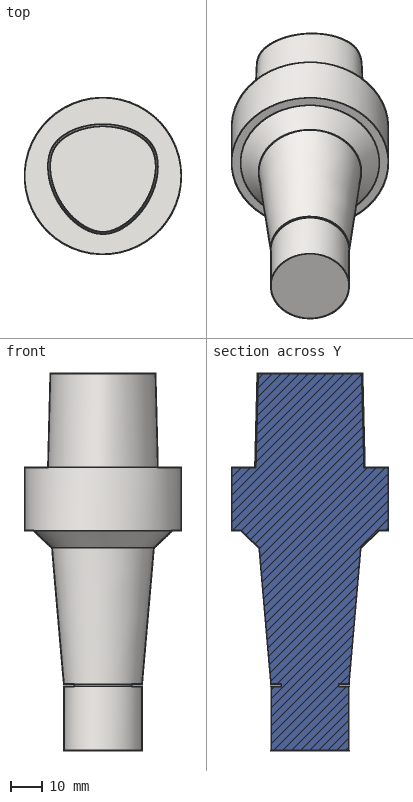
import cadquery as cq
import math

total_height = 120.0
plug_top = 20.4
groove_top = 21.1
neck_top = 64.5
flange_bottom = 70.0
flange_top = 90.1

plug_diameter = 25.0
groove_diameter = 18.4
neck_bottom_diameter = plug_diameter
neck_top_diameter = 32.5
cone_bottom_diameter = 32.8
cone_top_diameter = 44.2
flange_diameter = 49.9

shank_base_width = 35.0
shank_taper = 1 / 20
lobe_offset = 1.0
lobe_count = 3
outline_points = 36


def revolved_body():
    """Stepped round body, as a half profile turned about Z."""
    steps = [
        (plug_diameter, 0),
        (plug_diameter, plug_top),
        (groove_diameter, plug_top),
        (groove_diameter, groove_top),
        (neck_bottom_diameter, groove_top),
        (neck_top_diameter, neck_top),
        (cone_bottom_diameter, neck_top),
        (cone_top_diameter, flange_bottom),
        (flange_diameter, flange_bottom),
        (flange_diameter, flange_top),
    ]
    profile = [(0, 0)]
    profile += [(diameter / 2, height) for diameter, height in steps]
    profile += [(0, flange_top)]
    return cq.Workplane("XZ").polyline(profile).close().revolve(360, (0, 0), (0, 1))


def shank_outline(width):
    """Evenly turned points on the lobed curve of constant width."""
    points = []
    for index in range(outline_points):
        angle = 2 * math.pi * index / outline_points
        reach = width / 2 + lobe_offset * math.sin(lobe_count * angle)
        slope = lobe_count * lobe_offset * math.cos(lobe_count * angle)
        x = reach * math.cos(angle) - slope * math.sin(angle)
        y = reach * math.sin(angle) + slope * math.cos(angle)
        points.append((x, y))
    return points


def lobed_shank():
    """Lobed shank that narrows from the flange to the top face."""
    length = total_height - flange_top
    top_width = shank_base_width - shank_taper * length
    return (
        cq.Workplane("XY", origin=(0, 0, flange_top))
        .spline(shank_outline(shank_base_width), periodic=True)
        .close()
        .workplane(offset=length)
        .spline(shank_outline(top_width), periodic=True)
        .close()
        .loft(ruled=True)
    )


result = revolved_body().union(lobed_shank())